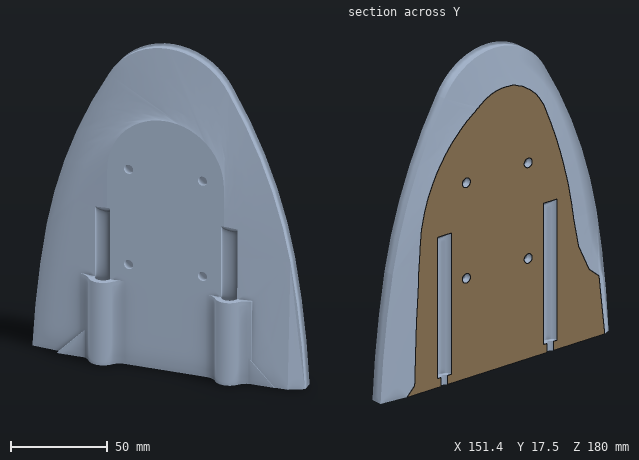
import cadquery as cq
import math

height = 180.0
half_width = 75.69
plate_depth = 6.7
shoulder_x, shoulder_z = 67.7, 70.4
crown_x, crown_z = 33.3, 160.4
lower_bulge = (72.7, 36.0)
upper_bulge = (53.8, 118.8)
crown_drop = height - crown_z
crown_radius = (crown_x**2 + crown_drop**2) / (2 * crown_drop)

pad_depth = 11.0
pad_radius = 32.4
pad_center_z = 108.5
apex_angle = 45
left_crown_angle = 72

ridge_foot_depth = 10.6

screw_diameter = 5.0
screw_x = 20.5
screw_heights = (56.5, 110.3)

socket_x = 35.1
socket_height = 46.6
socket_half_width = 12.6
socket_depth = 17.5
socket_radius = 7.7
bore_depth = socket_depth - socket_radius
bell_arc_angle = math.radians(55)
bore_diameter = 9.0
drain_diameter = 4.5
lip_height = 5.4
left_flange_depth = 9.5
right_flange_depth = 10.8
groove_top = 86.5
groove_end_slope = 0.85

gusset_foot_x = 60.5
gusset_root_x = 41.5
gusset_height = gusset_foot_x - gusset_root_x


def point(x, z, depth):
    return cq.Vector(x, -depth, z)


def line(start, end, depth):
    return cq.Edge.makeLine(point(*start, depth), point(*end, depth))


def arc(start, middle, end, depth):
    return cq.Edge.makeThreePointArc(point(*start, depth), point(*middle, depth), point(*end, depth))


def on_crown(x):
    return (x, height - crown_radius + math.sqrt(crown_radius**2 - x**2))


def on_pad(angle):
    a = math.radians(angle)
    return (pad_radius * math.cos(a), pad_center_z + pad_radius * math.sin(a))


def pad_arc(start_angle, end_angle):
    middle_angle = (start_angle + end_angle) / 2
    return arc(on_pad(start_angle), on_pad(middle_angle), on_pad(end_angle), pad_depth)


def mirrored(p):
    return (-p[0], p[1])


def outline_edges(depth):
    """Outer edges, counterclockwise from the bottom right corner."""
    foot = (half_width, 0)
    shoulder = (shoulder_x, shoulder_z)
    crown = (crown_x, crown_z)
    apex = (0, height)
    quarter = on_crown(crown_x / 2)
    return [
        arc(foot, lower_bulge, shoulder, depth),
        arc(shoulder, upper_bulge, crown, depth),
        arc(crown, quarter, apex, depth),
        arc(apex, mirrored(quarter), mirrored(crown), depth),
        arc(mirrored(crown), mirrored(upper_bulge), mirrored(shoulder), depth),
        arc(mirrored(shoulder), mirrored(lower_bulge), mirrored(foot), depth),
        line(mirrored(foot), foot, depth),
    ]


def pad_edges():
    """Pad edges, each paired with the outer edge that it blends to."""
    foot = (pad_radius, 0)
    split = (pad_radius, shoulder_z)
    return [
        line(foot, split, pad_depth),
        line(split, on_pad(0), pad_depth),
        pad_arc(0, apex_angle),
        pad_arc(apex_angle, left_crown_angle),
        pad_arc(left_crown_angle, 180),
        line(on_pad(180), mirrored(foot), pad_depth),
        line(mirrored(foot), foot, pad_depth),
    ]


def outline_prism(depth):
    face = cq.Face.makeFromWires(cq.Wire.assembleEdges(outline_edges(0)))
    return cq.Workplane(cq.Solid.extrudeLinear(face, cq.Vector(0, -depth, 0)))


def solid_from(faces):
    return cq.Workplane(cq.Solid.makeSolid(cq.Shell.makeShell(faces)).fix())


def blended_pad():
    outer = outline_edges(plate_depth)
    inner = pad_edges()
    faces = [cq.Face.makeRuledSurface(a, b) for a, b in zip(outer, inner)]
    for rim in (outer, inner):
        faces.append(cq.Face.makeFromWires(cq.Wire.assembleEdges(rim)))
    return solid_from(faces)


def right_ridge():
    """Flank between the pad and a ridge that rises toward the bottom edge."""
    pad_foot = point(pad_radius, 0, pad_depth)
    pad_side = point(pad_radius, shoulder_z, pad_depth)
    base_foot = point(pad_radius, 0, 0)
    base_side = point(pad_radius, shoulder_z, 0)
    ridge_foot = point(shoulder_x, 0, ridge_foot_depth)
    ridge_top = point(shoulder_x, shoulder_z, plate_depth)
    back_top = point(shoulder_x, shoulder_z, 0)
    rim_foot = point(half_width, 0, plate_depth)
    back_foot = point(half_width, 0, 0)
    loops = [
        [ridge_foot, rim_foot, ridge_top],
        [rim_foot, back_foot, back_top, ridge_top],
        [pad_side, ridge_top, back_top, base_side],
        [pad_foot, pad_side, base_side, base_foot],
        [pad_foot, base_foot, back_foot, rim_foot, ridge_foot],
        [base_foot, base_side, back_top, back_foot],
    ]
    flank = cq.Face.makeRuledSurface(
        cq.Edge.makeLine(pad_foot, pad_side),
        cq.Edge.makeLine(ridge_foot, ridge_top),
    )
    walls = [cq.Face.makeFromWires(cq.Wire.makePolygon(loop, close=True)) for loop in loops]
    return solid_from([flank] + walls)


def socket_half(direction, flange_depth):
    """Half of the bell-shaped housing, flaring along X toward direction (-1 or 1)."""
    def on_bell(angle):
        return (
            direction * socket_radius * math.sin(angle),
            -bore_depth - socket_radius * math.cos(angle),
        )

    edge_x = direction * socket_half_width
    return (
        cq.Workplane("XY")
        .moveTo(0, -socket_depth)
        .threePointArc(on_bell(bell_arc_angle / 2), on_bell(bell_arc_angle))
        .tangentArcPoint((edge_x, -flange_depth), relative=False)
        .lineTo(edge_x, -plate_depth)
        .lineTo(0, -plate_depth)
        .close()
        .extrude(socket_height)
    )


def socket(side, outer_depth):
    """Whole housing; its inner flange runs into the pad, its outer one into the flank."""
    housing = socket_half(side, outer_depth).union(socket_half(-side, pad_depth))
    return housing.translate((side * socket_x, 0, 0))


def rod_cut(side):
    """Rod groove with a sloping upper end, and a narrow drain through the socket's lip."""
    center = (side * socket_x, -bore_depth)
    groove = cq.Workplane("XY", origin=(0, 0, lip_height)).center(*center)
    groove = groove.circle(bore_diameter / 2).extrude(groove_top - lip_height)
    floor_z = groove_top - groove_end_slope * pad_depth
    end_profile = [
        (0, 0),
        (0, floor_z),
        (-pad_depth, groove_top),
        (-socket_depth, groove_top),
        (-socket_depth, 0),
    ]
    end_limit = cq.Workplane("YZ").polyline(end_profile).close().extrude(half_width, both=True)
    drain = cq.Workplane("XY").center(*center).circle(drain_diameter / 2).extrude(lip_height)
    return groove.intersect(end_limit).union(drain)


def gusset(side):
    foot_x = side * gusset_foot_x
    root_x = side * gusset_root_x
    triangle = [(foot_x, 0), (root_x, gusset_height), (root_x, 0)]
    return cq.Workplane("XZ").polyline(triangle).close().extrude(pad_depth)


def screw_holes():
    centers = [(x, z) for x in (-screw_x, screw_x) for z in screw_heights]
    return cq.Workplane("XZ").pushPoints(centers).circle(screw_diameter / 2).extrude(socket_depth)


body = outline_prism(plate_depth).union(blended_pad())
body = body.union(right_ridge().intersect(outline_prism(pad_depth)))
for side, flange_depth in ((-1, left_flange_depth), (1, right_flange_depth)):
    body = body.union(socket(side, flange_depth)).union(gusset(side)).cut(rod_cut(side))
result = body.cut(screw_holes())